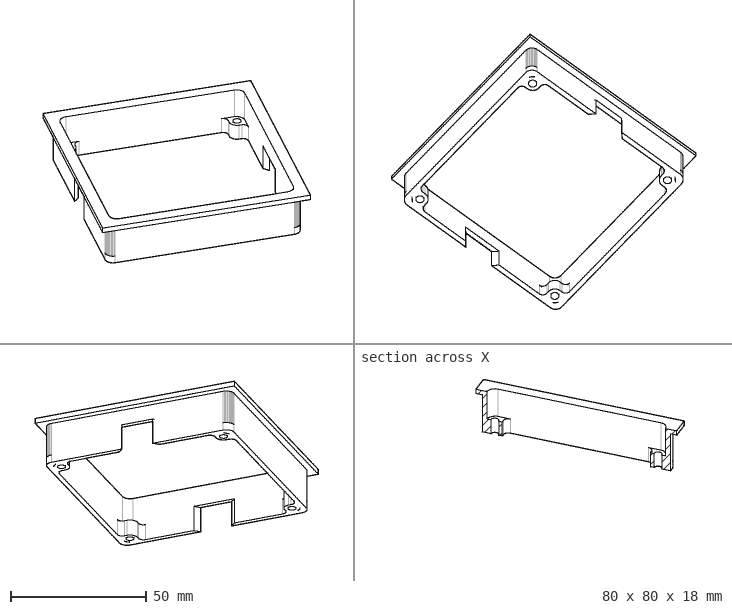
import cadquery as cq
import math

flange_size = 80.0
flange_thickness = 2.0

total_height = 18.0
skirt_size = 75.0
wall_thickness = 2.0
corner_radius = 3.0
opening_size = skirt_size - 2 * wall_thickness

round_band_height = 3.0
facets_per_corner = 10

boss_height = 6.2
boss_radius = 3.0
boss_blend_radius = 2.0
screw_hole_diameter = 3.0
screw_position = opening_size / 2 - boss_radius

notch_width = 12.3
notch_height = 10.0

CORNERS = 4
QUARTER_TURN = 90


def rounded_square(size, height):
    """Square prism with filleted corners."""
    block = cq.Workplane("XY").rect(size, size).extrude(height)
    return block.edges("|Z").fillet(corner_radius)


def faceted_square(size, height):
    """Square prism whose corners are quarter circles made of equal chords."""
    arc_center = size / 2 - corner_radius
    points = []
    for corner in range(CORNERS):
        middle = math.radians(QUARTER_TURN * (corner + 0.5))
        center_x = math.copysign(arc_center, math.cos(middle))
        center_y = math.copysign(arc_center, math.sin(middle))
        for step in range(facets_per_corner + 1):
            angle = math.radians(QUARTER_TURN * (corner + step / facets_per_corner))
            x = center_x + corner_radius * math.cos(angle)
            y = center_y + corner_radius * math.sin(angle)
            points.append((x, y))
    return cq.Workplane("XY").polyline(points).close().extrude(height)


def frame():
    """Flange and skirt with the square opening through both."""
    flange_base = total_height - flange_thickness
    flange = cq.Workplane("XY").rect(flange_size, flange_size).extrude(flange_thickness)
    round_band = rounded_square(skirt_size, round_band_height)
    faceted_skirt = faceted_square(skirt_size, flange_base - round_band_height)
    body = (
        round_band
        .union(faceted_skirt.translate((0, 0, round_band_height)))
        .union(flange.translate((0, 0, flange_base)))
    )
    return body.cut(rounded_square(opening_size, total_height))


def corner_boss():
    """Screw boss in the +X +Y corner, blended into both walls by concave arcs."""
    wall_face = opening_size / 2
    wall_overlap = wall_face + wall_thickness / 2
    inner_edge = screw_position - boss_radius
    blend_start = wall_face - boss_blend_radius
    blend_end = inner_edge - boss_blend_radius
    diagonal = math.sqrt(0.5)
    boss_diagonal = screw_position - boss_radius * diagonal
    blend_near = blend_end + boss_blend_radius * diagonal
    blend_far = blend_start + boss_blend_radius * diagonal
    outline = (
        cq.Workplane("XY")
        .moveTo(blend_end, wall_face)
        .threePointArc((blend_near, blend_far), (inner_edge, blend_start))
        .lineTo(inner_edge, screw_position)
        .threePointArc((boss_diagonal, boss_diagonal), (screw_position, inner_edge))
        .lineTo(blend_start, inner_edge)
        .threePointArc((blend_far, blend_near), (wall_face, blend_end))
        .lineTo(wall_overlap, blend_end)
        .lineTo(wall_overlap, screw_position)
        .lineTo(screw_position, wall_overlap)
        .lineTo(blend_end, wall_overlap)
        .close()
    )
    return outline.extrude(boss_height)


def add_bosses(body):
    """Join a boss into every corner and drill the screw holes through them."""
    boss = corner_boss()
    for corner in range(CORNERS):
        body = body.union(boss.rotate((0, 0, 0), (0, 0, 1), QUARTER_TURN * corner))
    hole_spacing = 2 * screw_position
    screw_holes = (
        cq.Workplane("XY")
        .rect(hole_spacing, hole_spacing, forConstruction=True)
        .vertices()
        .circle(screw_hole_diameter / 2)
        .extrude(boss_height)
    )
    return body.cut(screw_holes)


def wall_notches():
    """Bars that open the notches in the -Y and +Y walls, widening inwards at 45 degrees."""
    outer_face = skirt_size / 2
    inner_face = outer_face - wall_thickness
    outer_half = notch_width / 2
    inner_half = outer_half + wall_thickness
    back_notch = (
        cq.Workplane("XY")
        .moveTo(-outer_half, outer_face)
        .lineTo(outer_half, outer_face)
        .lineTo(inner_half, inner_face)
        .lineTo(-inner_half, inner_face)
        .close()
        .extrude(notch_height)
    )
    return back_notch.union(back_notch.mirror("XZ"))


result = add_bosses(frame()).cut(wall_notches())